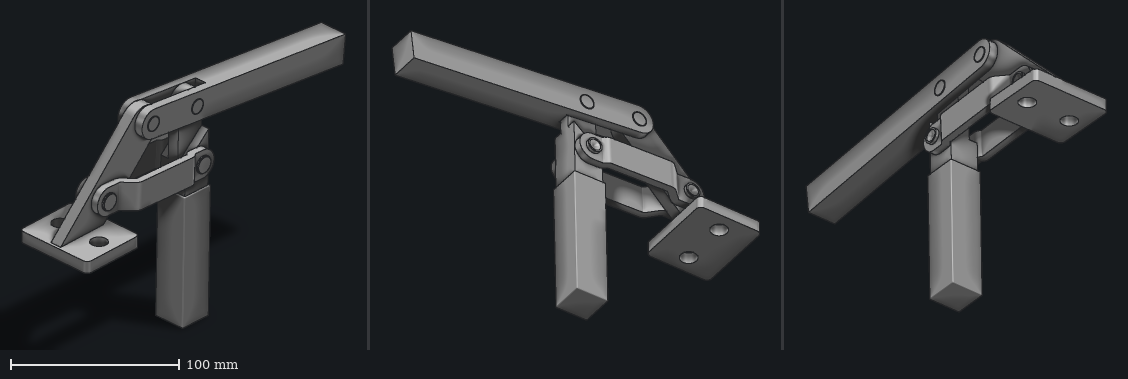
import cadquery as cq
import math


overall_length = 241

plate_width = 56.0
plate_depth = 45.0
plate_height = 8.2
plate_corner_radius = 3.4
mount_hole_diameter = 11.0
mount_hole_spacing = 31.8

strut_thickness = 8.0
strut_end_radius = 13.0
strut_end_y = 74.2
strut_end_z = 62.0
strut_slant = 45

bar_size = 20.0
bar_half = bar_size / 2
slot_width = strut_thickness

lever_pivot_z = 64.3
lever_length = 165.0
lever_droop = 6.4
lever_slot_length = 50.0
lever_arm_pin_offset = 38.0

arm_tilt = 1.2
arm_link_pin_drop = 37.4
tongue_cut_drop = 19.0
tongue_cut_slant = 42
grip_size = 22.7
grip_top_drop = 57.5
grip_bottom_drop = 147
grip_edge_radius = 0.7

link_thickness = 5.0
link_end_radius = 9.6
link_bow_inside = 12.3
link_rear_bend_start = 8.2
link_front_bend_start = 10.4
link_rear_bend_inner_radius = 0.5
link_front_bend_inner_radius = 1.2
link_strut_pin_y = 38.0
link_strut_pin_z = 26.5

pin_diameter = 10.0
pin_end_chamfer = 0.35
rivet_head_height = 2.2
rivet_recess_diameter = 7.7
rivet_recess_depth = 2.0
clip_diameter = 11.5
clip_height = 1.5
clip_edge_chamfer = 0.5


def along(start_y, start_z, distance, angle):
    """Point at a distance from a start point, at an angle above +Y in the YZ plane."""
    angle_radians = math.radians(angle)
    return (
        start_y + distance * math.cos(angle_radians),
        start_z + distance * math.sin(angle_radians),
    )


lever_droop_radians = math.radians(lever_droop)
lever_reach = lever_length * math.cos(lever_droop_radians) + bar_half * math.sin(lever_droop_radians)
lever_pivot_y = overall_length - lever_reach

arm_pin_y, arm_pin_z = along(lever_pivot_y, lever_pivot_z, lever_arm_pin_offset, -lever_droop)
link_arm_pin_y, link_arm_pin_z = along(arm_pin_y, arm_pin_z, arm_link_pin_drop, -90 - arm_tilt)
link_rise = link_strut_pin_z - link_arm_pin_z
link_reach = link_arm_pin_y - link_strut_pin_y
link_length = math.hypot(link_rise, link_reach)
link_tilt = -math.degrees(math.atan2(link_rise, link_reach))


def side_sketch():
    """Workplane for outlines drawn as (Y, Z)."""
    return cq.Workplane("YZ")


def place(body, y, z, angle):
    """Turn a body built about its own pivot, then carry the pivot to (y, z)."""
    return body.rotate((0, 0, 0), (1, 0, 0), angle).translate((0, y, z))


def cross_cylinder(x_start, x_end, diameter):
    return side_sketch().workplane(offset=x_start).circle(diameter / 2).extrude(x_end - x_start)


def make_plate():
    plate = (
        cq.Workplane("XY")
        .rect(plate_width, plate_depth)
        .extrude(plate_height)
        .edges("|Z")
        .fillet(plate_corner_radius)
        .faces(">Z")
        .workplane()
        .rarray(mount_hole_spacing, 2.5, 2, 1)
        .hole(mount_hole_diameter)
    )
    return plate.translate((0, plate_depth / 2, 0))


def make_strut():
    """Slanted strip with a round upper end, standing on the plate."""
    slant = math.radians(strut_slant)
    across_y = strut_end_radius * math.sin(slant)
    across_z = strut_end_radius * math.cos(slant)
    foot_centre_y = strut_end_y - (strut_end_z - plate_height) / math.tan(slant)
    foot_half = strut_end_radius / math.sin(slant)
    tip = along(strut_end_y, strut_end_z, strut_end_radius, strut_slant)
    return (
        side_sketch()
        .moveTo(foot_centre_y - foot_half, plate_height)
        .lineTo(strut_end_y - across_y, strut_end_z + across_z)
        .threePointArc(tip, (strut_end_y + across_y, strut_end_z - across_z))
        .lineTo(foot_centre_y + foot_half, plate_height)
        .close()
        .extrude(strut_thickness / 2, both=True)
    )


def make_lever():
    """Square bar with a forked round end, pinned at the origin, pointing along +Y."""
    bar = (
        side_sketch()
        .moveTo(0, bar_half)
        .lineTo(lever_length, bar_half)
        .lineTo(lever_length, -bar_half)
        .lineTo(0, -bar_half)
        .threePointArc((-bar_half, 0), (0, bar_half))
        .close()
        .extrude(bar_half, both=True)
    )
    slot_total = lever_slot_length + bar_half
    slot = cq.Workplane("XY").box(slot_width, slot_total, bar_size)
    lever = bar.cut(slot.translate((0, lever_slot_length - slot_total / 2, 0)))
    for offset in (0, lever_arm_pin_offset):
        bore = cross_cylinder(-bar_half, bar_half, pin_diameter)
        pin = bore.faces("<X or >X").chamfer(pin_end_chamfer)
        lever = lever.cut(bore.translate((0, offset, 0))).union(pin.translate((0, offset, 0)))
    return place(lever, lever_pivot_y, lever_pivot_z, -lever_droop)


def make_arm():
    """Square bar hanging from the origin, thinned to a round-topped tongue in the lever."""
    bar = (
        side_sketch()
        .moveTo(-bar_half, 0)
        .threePointArc((0, bar_half), (bar_half, 0))
        .lineTo(bar_half, -grip_top_drop)
        .lineTo(-bar_half, -grip_top_drop)
        .close()
        .extrude(bar_half, both=True)
    )
    cut_fall = bar_size * math.tan(math.radians(tongue_cut_slant))
    cheek_depth = (bar_size - strut_thickness) / 2
    cheek = (
        side_sketch()
        .workplane(offset=strut_thickness / 2)
        .moveTo(bar_half, bar_half)
        .lineTo(bar_half, -tongue_cut_drop)
        .lineTo(-bar_half, -tongue_cut_drop - cut_fall)
        .lineTo(-bar_half, bar_half)
        .close()
        .extrude(cheek_depth)
    )
    bar = bar.cut(cheek).cut(cheek.mirror("YZ"))
    grip = (
        cq.Workplane("XY", origin=(0, 0, -grip_bottom_drop))
        .rect(grip_size, grip_size)
        .extrude(grip_bottom_drop - grip_top_drop)
        .edges()
        .fillet(grip_edge_radius)
    )
    return place(bar.union(grip), arm_pin_y, arm_pin_z, -arm_tilt)


def make_link():
    """Bent strip on the +X side, from the arm pin at the origin to the strut pin at -Y."""
    half = link_thickness / 2
    rear_x = bar_half + half
    bow_x = link_bow_inside + half
    front_x = strut_thickness / 2 + half
    front_y = -link_length
    corners = [
        (rear_x, link_end_radius),
        (rear_x, -link_rear_bend_start),
        (bow_x, -link_rear_bend_start - (bow_x - rear_x)),
        (bow_x, front_y + link_front_bend_start + (bow_x - front_x)),
        (front_x, front_y + link_front_bend_start),
        (front_x, front_y - link_end_radius),
    ]
    centre_line = cq.Wire.makePolygon([cq.Vector(x, y) for x, y in corners])
    centre_line = centre_line.fillet(link_rear_bend_inner_radius + half, centre_line.Vertices()[1:3])
    centre_line = centre_line.fillet(link_front_bend_inner_radius + half, centre_line.Vertices()[-3:-1])
    strip_outline = centre_line.offset2D(half)
    strip = (
        cq.Workplane("XY")
        .add(strip_outline)
        .toPending()
        .extrude(link_end_radius, both=True)
    )
    silhouette = (
        side_sketch()
        .center(-link_length / 2, 0)
        .slot2D(link_length + 2 * link_end_radius, 2 * link_end_radius)
        .extrude(bow_x + half)
    )
    return strip.intersect(silhouette)


def make_rivet(seat_x):
    """Cross pin with a cupped head on the -X side and a retaining clip on the +X side."""
    head_x = -seat_x - rivet_head_height
    clip_x = seat_x + clip_height
    recess = cq.Solid.makeCone(
        rivet_recess_diameter / 2, 0, rivet_recess_depth, cq.Vector(head_x, 0, 0), cq.Vector(1, 0, 0)
    )
    shank = cross_cylinder(head_x, clip_x, pin_diameter)
    clip = cross_cylinder(seat_x, clip_x, clip_diameter).faces(">X").chamfer(clip_edge_chamfer)
    return shank.union(clip).cut(recess)


def make_linkage():
    """Both links with the rivets through their ends."""
    link = make_link()
    arm_rivet = make_rivet(bar_half + link_thickness)
    strut_rivet = make_rivet(strut_thickness / 2 + link_thickness)
    linkage = (
        link.union(link.mirror("YZ"))
        .union(arm_rivet)
        .union(strut_rivet.translate((0, -link_length, 0)))
    )
    return place(linkage, link_arm_pin_y, link_arm_pin_z, link_tilt)


result = (
    make_plate()
    .union(make_strut())
    .union(make_lever())
    .union(make_arm())
    .union(make_linkage())
)